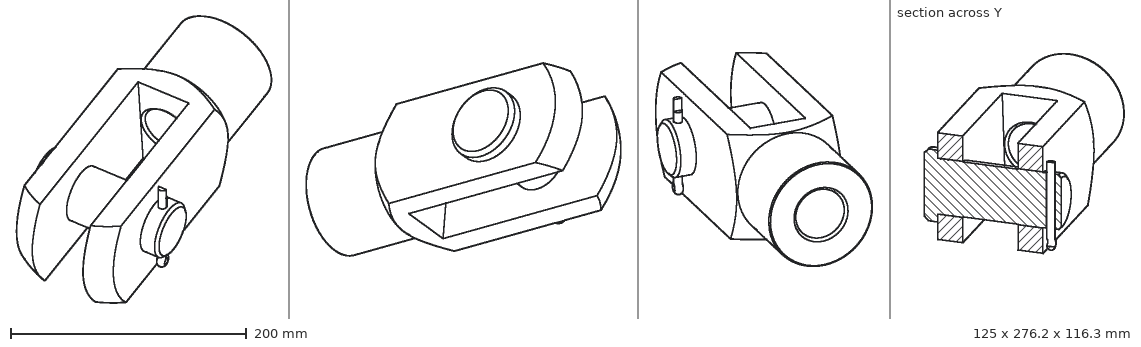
import cadquery as cq
import math

TILT = 4.8
FORK_WIDTH = 96.0
SLOT_WIDTH = 50.2
SLOT_END = 96.0
SHANK_RADIUS = 47.2
SHANK_END = 192.0
SHOULDER = 119.2
SHOULDER_DROP_RATIO = 0.9
SHANK_CHAMFER = 1.0
BORE_RADIUS = 22.0
BORE_CHAMFER = 2.5
TIP_RADIUS = 121.5
TIP_CENTRE = 32.0
TIP_CENTRE_OFFSET = 19.3
CORNER_MARGIN = 2.8

PIN_RADIUS = 24.97
PIN_LENGTH = 125.0
PIN_CHAMFER = 2.8
HEAD_RADIUS = 32.5
HEAD_HEIGHT = 12.1
HEAD_CHAMFER = 4.0
HEAD_SEAT = -FORK_WIDTH / 2
HEAD_OUTER = HEAD_SEAT - HEAD_HEIGHT

SPLIT_X = 55.0
SPLIT_RADIUS = 4.0
LONG_LEG_TOP = 45.8
SHORT_LEG_TOP = 34.8
SPLIT_BOTTOM = -44.5
LEG_GAP = 0.3
EYE_INNER_RADIUS = 2.8
FLARE_RADIUS = 4.0


def tip_position(radius):
    """Y of the crowned fork end at a given distance from the Y axis."""
    return TIP_CENTRE - math.sqrt(TIP_RADIUS**2 - (radius + TIP_CENTRE_OFFSET) ** 2)


def fork_envelope():
    """Turned shape around Y: crowned tip, conical shoulder and shank."""
    outer_radius = FORK_WIDTH / math.sqrt(2) + CORNER_MARGIN
    shoulder_edge = SHOULDER - SHOULDER_DROP_RATIO * (outer_radius - SHANK_RADIUS)
    middle_radius = outer_radius / 2
    return (
        cq.Workplane("XY")
        .moveTo(0, tip_position(0))
        .threePointArc((middle_radius, tip_position(middle_radius)), (outer_radius, tip_position(outer_radius)))
        .lineTo(outer_radius, shoulder_edge)
        .lineTo(SHANK_RADIUS, SHOULDER)
        .lineTo(SHANK_RADIUS, SHANK_END - SHANK_CHAMFER)
        .lineTo(SHANK_RADIUS - SHANK_CHAMFER, SHANK_END)
        .lineTo(0, SHANK_END)
        .close()
        .revolve(360, (0, 0, 0), (0, 1, 0))
    )


def shank_bore():
    """Through bore from the shank end to the slot, chamfered at both mouths."""
    mouth_radius = BORE_RADIUS + BORE_CHAMFER
    return (
        cq.Workplane("XY")
        .moveTo(0, SLOT_END)
        .lineTo(mouth_radius, SLOT_END)
        .lineTo(BORE_RADIUS, SLOT_END + BORE_CHAMFER)
        .lineTo(BORE_RADIUS, SHANK_END - BORE_CHAMFER)
        .lineTo(mouth_radius, SHANK_END)
        .lineTo(0, SHANK_END)
        .close()
        .revolve(360, (0, 0, 0), (0, 1, 0))
    )


def make_clevis():
    square_bar = cq.Workplane("XY").box(FORK_WIDTH, 2 * SHANK_END, FORK_WIDTH)
    slot = (
        cq.Workplane("XY")
        .box(SLOT_WIDTH, 2 * SHANK_END, FORK_WIDTH)
        .translate((0, SLOT_END - SHANK_END, 0))
    )
    pin_hole = cq.Workplane("YZ").circle(PIN_RADIUS).extrude(FORK_WIDTH / 2, both=True)
    clevis = fork_envelope().intersect(square_bar).cut(slot).cut(shank_bore()).cut(pin_hole)
    return clevis.rotate((0, 0, 0), (1, 0, 0), TILT)


def make_pin():
    head = (
        cq.Workplane("YZ", origin=(HEAD_OUTER, 0, 0))
        .circle(HEAD_RADIUS)
        .extrude(HEAD_HEIGHT)
        .faces("<X")
        .chamfer(HEAD_CHAMFER)
    )
    shaft = (
        cq.Workplane("YZ", origin=(HEAD_SEAT, 0, 0))
        .circle(PIN_RADIUS)
        .extrude(PIN_LENGTH - HEAD_HEIGHT)
        .faces(">X")
        .chamfer(PIN_CHAMFER)
    )
    split_pin_hole = (
        cq.Workplane("XY").center(SPLIT_X, 0).circle(SPLIT_RADIUS).extrude(PIN_RADIUS, both=True)
    )
    return head.union(shaft).cut(split_pin_hole)


def make_split_pin():
    """Half-round wire bent into a hairpin: long leg, eye and short leg."""
    leg_y = LEG_GAP / 2
    wire_radius = SPLIT_RADIUS - leg_y
    eye_z = SPLIT_BOTTOM + EYE_INNER_RADIUS + wire_radius
    centre_distance = FLARE_RADIUS + EYE_INNER_RADIUS
    flare_centre_y = FLARE_RADIUS + leg_y
    flare_z = eye_z + math.sqrt(centre_distance**2 - flare_centre_y**2)
    flare_angle = math.acos(flare_centre_y / centre_distance)
    tangent_y = EYE_INNER_RADIUS * math.cos(flare_angle)
    tangent_z = eye_z + EYE_INNER_RADIUS * math.sin(flare_angle)
    flare_middle_y = flare_centre_y - FLARE_RADIUS * math.cos(flare_angle / 2)
    flare_middle_z = flare_z - FLARE_RADIUS * math.sin(flare_angle / 2)
    path = (
        cq.Workplane("YZ", origin=(SPLIT_X, 0, 0))
        .moveTo(-leg_y, LONG_LEG_TOP)
        .lineTo(-leg_y, flare_z)
        .threePointArc((-flare_middle_y, flare_middle_z), (-tangent_y, tangent_z))
        .threePointArc((0, eye_z - EYE_INNER_RADIUS), (tangent_y, tangent_z))
        .threePointArc((flare_middle_y, flare_middle_z), (leg_y, flare_z))
        .lineTo(leg_y, SHORT_LEG_TOP)
    )
    return (
        cq.Workplane("XY", origin=(SPLIT_X, -leg_y, LONG_LEG_TOP))
        .moveTo(-wire_radius, 0)
        .threePointArc((0, -wire_radius), (wire_radius, 0))
        .close()
        .sweep(path)
    )


clevis = make_clevis()
pin = make_pin()
split_pin = make_split_pin()

result = cq.Compound.makeCompound([clevis.val(), pin.val(), split_pin.val()])